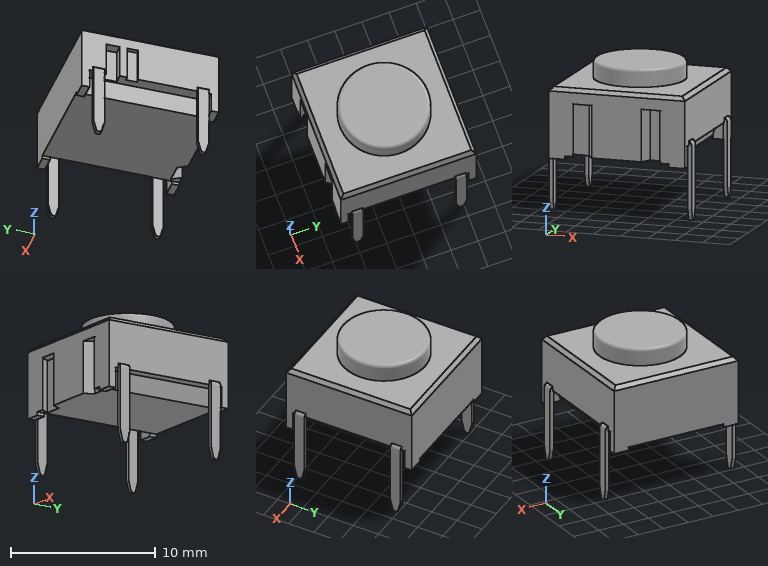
import cadquery as cq

total_length = 10.46
total_height = 10.3
body_width = 10.0
body_top = 8.99
body_bottom = 4.14
foot_bottom = 3.9
ledge_level = 5.38
slot_top = 7.9
top_chamfer = 0.28

button_diameter = 6.5
button_rounding = 0.25

foot_length = 1.19
foot_thickness = 0.56
recess_top_depth = 0.85

deep_slot = 0.7
shallow_slot = 0.3
front_slot_inner_x = 1.81
front_slot_outer_x = 3.18
front_slot_lean = 0.42
deep_side_slot_y = 2.72
deep_side_slot_width = 0.98
shallow_side_slot_y = 1.28
shallow_side_slot_width = 0.81

pin_thickness = 0.3
pin_width = 0.8
pin_top = 5.72
pin_bend_radius = 0.37
pin_embedding = 0.84
pin_spacing_y = 7.61
tip_height = 0.88
tip_width = 0.35
tip_rounding = 0.21

half_body = body_width / 2
half_length = total_length / 2


def make_body():
    """Square housing with a chamfered top and four corner feet."""
    housing = (
        cq.Workplane("XY", origin=(0, 0, body_bottom))
        .rect(body_width, body_width)
        .extrude(body_top - body_bottom)
        .faces(">Z")
        .chamfer(top_chamfer)
    )
    for x_side in (-1, 1):
        for y_side in (-1, 1):
            foot = (
                cq.Workplane("XY", origin=(0, 0, foot_bottom))
                .center(x_side * (half_body - foot_length / 2), y_side * (half_body - foot_thickness / 2))
                .rect(foot_length, foot_thickness)
                .extrude(body_bottom - foot_bottom)
            )
            housing = housing.union(foot)
    return housing


def make_recess():
    """Undercut of the -X wall between the feet, ending in a sloped inner face."""
    return (
        cq.Workplane("XZ")
        .polyline([
            (-half_length, ledge_level),
            (-half_body + recess_top_depth, ledge_level),
            (-half_body + foot_length, body_bottom),
            (-half_length, body_bottom),
        ])
        .close()
        .extrude(half_body - foot_thickness, both=True)
    )


def make_front_slot():
    """Slot in the -Y wall at +X, with parallel side walls that lean towards +X as they go in."""
    return (
        cq.Workplane("XY", origin=(0, 0, body_bottom))
        .polyline([
            (front_slot_inner_x, -half_body),
            (front_slot_outer_x, -half_body),
            (front_slot_outer_x + front_slot_lean, -half_body + deep_slot),
            (front_slot_inner_x + front_slot_lean, -half_body + deep_slot),
        ])
        .close()
        .extrude(slot_top - body_bottom)
    )


def make_side_slot(center_y, width, depth):
    """Rectangular slot in the -X wall, open into the recess below."""
    return (
        cq.Workplane("XY", origin=(-half_body + depth / 2, center_y, ledge_level))
        .rect(depth, width)
        .extrude(slot_top - ledge_level)
    )


def make_pin():
    """Pin on the -X side: bent into the housing at the top, tapered to a rounded tip."""
    outer_x = -half_length
    inner_x = outer_x + pin_thickness
    embedded_x = outer_x + pin_embedding
    side_profile = (
        cq.Workplane("XZ")
        .moveTo(outer_x, 0)
        .lineTo(outer_x, pin_top - pin_bend_radius)
        .radiusArc((outer_x + pin_bend_radius, pin_top), pin_bend_radius)
        .lineTo(embedded_x, pin_top)
        .lineTo(embedded_x, ledge_level)
        .lineTo(inner_x, ledge_level)
        .lineTo(inner_x, 0)
        .close()
        .extrude(pin_width / 2, both=True)
    )
    tapered_outline = (
        cq.Workplane("YZ", origin=(outer_x, 0, 0))
        .polyline([
            (-tip_width / 2, 0),
            (tip_width / 2, 0),
            (pin_width / 2, tip_height),
            (pin_width / 2, pin_top),
            (-pin_width / 2, pin_top),
            (-pin_width / 2, tip_height),
        ])
        .close()
        .extrude(pin_embedding)
        .edges("<Z and |X")
        .fillet(tip_rounding)
    )
    return side_profile.intersect(tapered_outline)


button = (
    cq.Workplane("XY", origin=(0, 0, body_top))
    .circle(button_diameter / 2)
    .extrude(total_height - body_top)
    .faces(">Z")
    .edges()
    .fillet(button_rounding)
)

recess = make_recess()
front_slot = make_front_slot()
pin = make_pin()

result = make_body().union(button)
result = result.cut(recess).cut(recess.mirror("YZ"))
result = result.cut(front_slot).cut(front_slot.mirror("YZ"))
result = result.cut(make_side_slot(deep_side_slot_y, deep_side_slot_width, deep_slot))
result = result.cut(make_side_slot(shallow_side_slot_y, shallow_side_slot_width, shallow_slot))

for pin_y in (-pin_spacing_y / 2, pin_spacing_y / 2):
    placed_pin = pin.translate((0, pin_y, 0))
    result = result.union(placed_pin).union(placed_pin.mirror("YZ"))